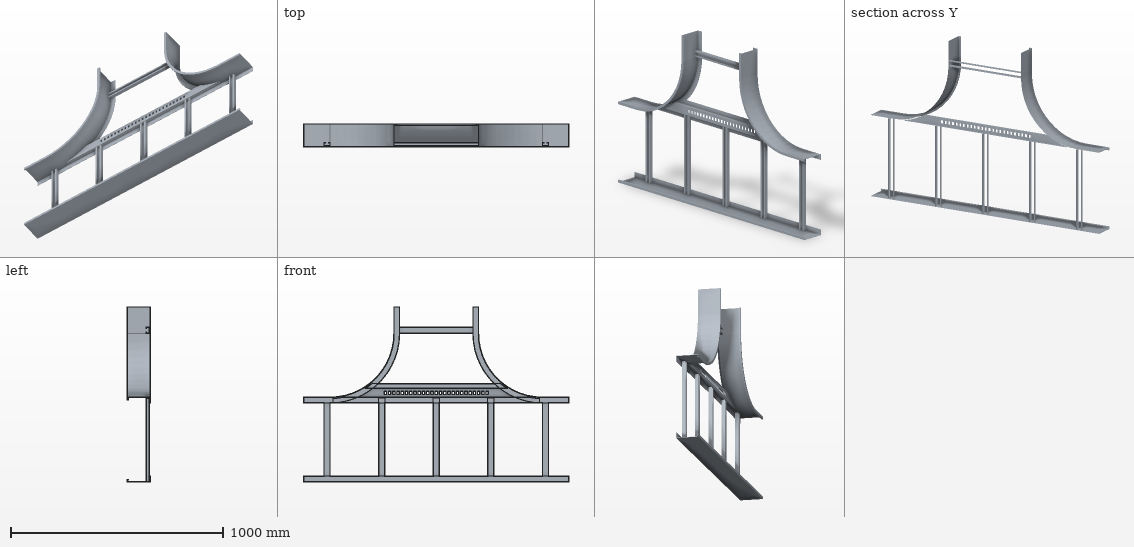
import cadquery as cq
import math

LENGTH = 1250.0
HEIGHT = 825.0
TRAY_WIDTH = 400.0
STUB = 125.0
HALF_LENGTH = LENGTH / 2
HALF_WIDTH = TRAY_WIDTH / 2
BEND_RADIUS = HEIGHT - TRAY_WIDTH - STUB
BEND_X = HALF_WIDTH + BEND_RADIUS
BEND_Z = TRAY_WIDTH + BEND_RADIUS

SHEET = 2.0
RAIL_DEPTH = 110.0
FRONT_FLANGE = 28.0
BACK_FLANGE = 12.0
BACK_LIP = 8.0
CLEAR_WIDTH = TRAY_WIDTH - 2 * SHEET

RUNG_WIDTH = 30.0
RUNG_DEPTH = 16.0
RUNG_LIP = 8.0
RUNG_FRONT = 5.0
RUNG_PITCH = 258.0
RUNG_COUNT = 5
RUNG_TOP_GAP = 2.0

STRIP_FRONT = SHEET
STRIP_WEB_HEIGHT = 40.0
STRIP_UPPER_FLANGE = 24.0
STRIP_RECESS = 20.0
STRIP_HALF_LENGTH = 488.0
STRIP_END_GAP = 5.0
SLOT_COUNT = 25
SLOT_PITCH = 20.0
SLOT_WIDTH = 10.0
SLOT_HEIGHT = 15.0


def box(x0, x1, y0, y1, z0, z1):
    """Block between two opposite corners."""
    return cq.Workplane("XY").box(x1 - x0, y1 - y0, z1 - z0, centered=False).translate((x0, y0, z0))


def bent_band(near, far, y0, y1):
    """Right-hand bent rail layer between two offsets measured inward from the outer rail face."""
    diagonal = math.sqrt(0.5)

    def bend_point(offset):
        reach = (BEND_RADIUS + offset) * diagonal
        return (BEND_X - reach, BEND_Z - reach)

    return (
        cq.Workplane("XZ", origin=(0, y0, 0))
        .moveTo(HALF_LENGTH, TRAY_WIDTH - near)
        .lineTo(BEND_X, TRAY_WIDTH - near)
        .threePointArc(bend_point(near), (HALF_WIDTH - near, BEND_Z))
        .lineTo(HALF_WIDTH - near, HEIGHT)
        .lineTo(HALF_WIDTH - far, HEIGHT)
        .lineTo(HALF_WIDTH - far, BEND_Z)
        .threePointArc(bend_point(far), (BEND_X, TRAY_WIDTH - far))
        .lineTo(HALF_LENGTH, TRAY_WIDTH - far)
        .close()
        .extrude(-(y1 - y0))
    )


def straight_band(near, far, y0, y1):
    """Straight rail layer between two offsets measured upward from the outer rail face."""
    return box(-HALF_LENGTH, HALF_LENGTH, y0, y1, near, far)


def rail(band):
    """Channel with a wide front flange and a lipped back flange, made from one kind of layer."""
    web = band(0, SHEET, 0, RAIL_DEPTH)
    front_flange = band(0, FRONT_FLANGE, 0, SHEET)
    back_flange = band(0, BACK_FLANGE, RAIL_DEPTH - SHEET, RAIL_DEPTH)
    back_lip = band(BACK_FLANGE - SHEET, BACK_FLANGE, RAIL_DEPTH - BACK_LIP, RAIL_DEPTH)
    return web.union(front_flange).union(back_flange).union(back_lip)


def rung(length):
    """Lipped channel standing on Z = 0, centred on X, open towards the back."""
    half = RUNG_WIDTH / 2
    back = RUNG_FRONT + RUNG_DEPTH
    body = box(-half, half, RUNG_FRONT, back, 0, length)
    hollow = box(-half + SHEET, half - SHEET, RUNG_FRONT + SHEET, back - SHEET, 0, length)
    mouth = box(-half + RUNG_LIP, half - RUNG_LIP, back - SHEET, back, 0, length)
    return body.cut(hollow).cut(mouth)


def slotted_strip():
    """Hat-section strip whose ends follow the inner faces of the bent rails."""
    web_bottom = TRAY_WIDTH
    web_top = web_bottom + STRIP_WEB_HEIGHT
    bottom = TRAY_WIDTH - FRONT_FLANGE
    top = web_top + STRIP_UPPER_FLANGE
    front = STRIP_FRONT
    back = front + STRIP_RECESS
    profile = [
        (front, bottom),
        (front + SHEET, bottom),
        (front + SHEET, web_bottom - SHEET),
        (back, web_bottom - SHEET),
        (back, web_top + SHEET),
        (front + SHEET, web_top + SHEET),
        (front + SHEET, top),
        (front, top),
        (front, web_top),
        (back - SHEET, web_top),
        (back - SHEET, web_bottom),
        (front, web_bottom),
    ]
    strip = (
        cq.Workplane("YZ")
        .polyline(profile)
        .close()
        .extrude(STRIP_HALF_LENGTH, both=True)
    )
    bends = (
        cq.Workplane("XZ")
        .pushPoints([(-BEND_X, BEND_Z), (BEND_X, BEND_Z)])
        .circle(BEND_RADIUS + SHEET + STRIP_END_GAP)
        .extrude(-RAIL_DEPTH)
    )
    slots = (
        cq.Workplane("XZ")
        .center(0, (web_bottom + web_top) / 2)
        .rarray(SLOT_PITCH, 12, SLOT_COUNT, 1)
        .rect(SLOT_WIDTH, SLOT_HEIGHT)
        .extrude(-RAIL_DEPTH)
    )
    return strip.cut(bends).cut(slots)


straight_rail = rail(straight_band)
right_bent_rail = rail(bent_band)
left_bent_rail = right_bent_rail.mirror("YZ")
cross_strip = slotted_strip()

main_rungs = []
for index in range(RUNG_COUNT):
    x = (index - (RUNG_COUNT - 1) / 2) * RUNG_PITCH
    main_rungs.append(rung(CLEAR_WIDTH - RUNG_TOP_GAP).translate((x, 0, SHEET)))

branch_rung = (
    rung(CLEAR_WIDTH)
    .rotate((0, 0, 0), (0, 1, 0), 90)
    .translate((-HALF_WIDTH + SHEET, 0, BEND_Z + RUNG_WIDTH / 2))
)

result = cq.Compound.makeCompound(
    [
        straight_rail.val(),
        left_bent_rail.val(),
        right_bent_rail.val(),
        cross_strip.val(),
        branch_rung.val(),
        *[main_rung.val() for main_rung in main_rungs],
    ]
)